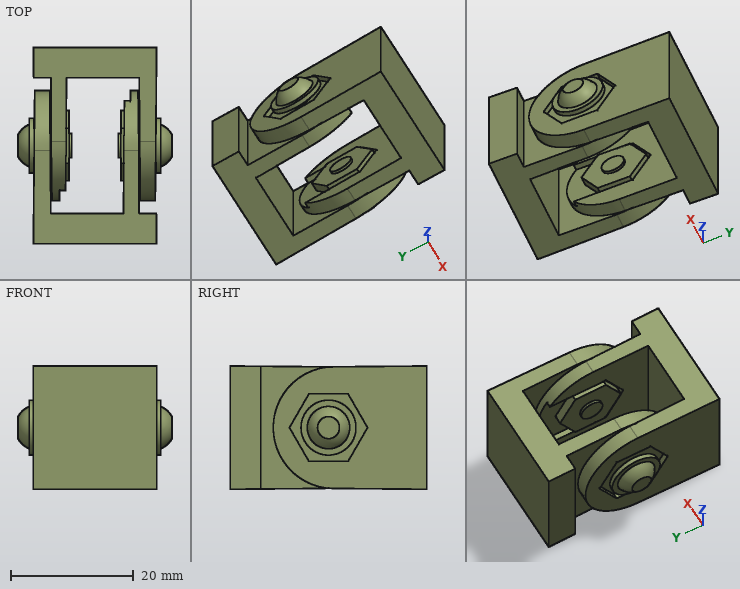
import cadquery as cq
import math

LENGTH = 32.0
WIDTH = 20.1
HEIGHT = 20.1
BLOCK_THICKNESS = 5.0
ARM_LENGTH = 20.0
DRAFT_ANGLE = 0.5
DRAFT_SLOPE = math.tan(math.radians(DRAFT_ANGLE))

ROOT_WIDTH = WIDTH - 2 * DRAFT_SLOPE * BLOCK_THICKNESS
ROOT_HEIGHT = HEIGHT - 2 * DRAFT_SLOPE * BLOCK_THICKNESS

OUTER_ARM_X = (-ROOT_WIDTH / 2, -7.17)
INNER_ARM_X = (4.6, 7.2)

RECESS_FLATS = 11.0
OUTER_RECESS_DEPTH = 0.95
OUTER_FACE_AT_PIN = 9.92
INNER_RECESS_FLOOR_X = 5.75

PIN_RADIUS = 4.0 / 2
PIN_END_X = 3.78
FLANGE_RADIUS = 4.48
FLANGE_THICKNESS = 0.8
HEAD_BASE_RADIUS = 3.45
HEAD_TOP_RADIUS = 1.8
HEAD_TOP_X = 12.55
NUT_FLATS = 9.92
NUT_FACE_X = 4.22

ROOT_Y = -LENGTH / 2 + BLOCK_THICKNESS
TIP_Y = ROOT_Y + ARM_LENGTH


def box_between(x_range, y_range, z_range):
    """Box spanning the given coordinate ranges."""
    spans = [high - low for low, high in (x_range, y_range, z_range)]
    corner = (x_range[0], y_range[0], z_range[0])
    return cq.Workplane("XY").box(*spans, centered=False).translate(corner)


def hex_prism(flats, x_start, x_end):
    """Hexagonal prism along X, with flats facing up and down."""
    corner_diameter = flats / math.cos(math.pi / 6)
    return (
        cq.Workplane("YZ", origin=(x_start, 0, 0))
        .polygon(6, corner_diameter)
        .extrude(x_end - x_start)
    )


def drafted_arm(x_range):
    """Arm tapering away from its block and ending in a rounded tip."""
    x_low, x_high = x_range
    arm = (
        cq.Workplane("XZ", origin=((x_low + x_high) / 2, ROOT_Y, 0))
        .rect(x_high - x_low, ROOT_HEIGHT)
        .extrude(-ARM_LENGTH, taper=DRAFT_ANGLE)
    )
    tip_radius = (ROOT_HEIGHT / 2 - DRAFT_SLOPE * ARM_LENGTH) / (1 - DRAFT_SLOPE)
    round_start_y = TIP_Y - tip_radius
    straight = box_between(x_range, (ROOT_Y, round_start_y), (-ROOT_HEIGHT / 2, ROOT_HEIGHT / 2))
    rounded = (
        cq.Workplane("YZ", origin=(x_low, round_start_y, 0))
        .circle(tip_radius)
        .extrude(x_high - x_low)
    )
    return arm.intersect(straight.union(rounded))


def outer_arm():
    """Arm with a hexagonal recess in its outside face."""
    floor_x = -OUTER_FACE_AT_PIN + OUTER_RECESS_DEPTH
    recess = hex_prism(RECESS_FLATS, OUTER_ARM_X[0], floor_x)
    return drafted_arm(OUTER_ARM_X).cut(recess)


def inner_arm():
    """Arm with a nut recess in its inside face, open toward the tip."""
    half_flats = RECESS_FLATS / 2
    depth_range = (INNER_ARM_X[0], INNER_RECESS_FLOOR_X)
    nut_seat = hex_prism(RECESS_FLATS, *depth_range)
    channel = box_between(depth_range, (0, TIP_Y), (-half_flats, half_flats))
    return drafted_arm(INNER_ARM_X).cut(nut_seat).cut(channel)


def yoke():
    """Drafted end block with its two arms."""
    block = (
        cq.Workplane("XZ", origin=(0, -LENGTH / 2, 0))
        .rect(WIDTH, HEIGHT)
        .extrude(-BLOCK_THICKNESS, taper=DRAFT_ANGLE)
    )
    return block.union(outer_arm()).union(inner_arm()).clean()


def pin_with_nut():
    """Domed, flanged pin through the -X pair of arms, with its nut."""
    flange_back_x = -OUTER_FACE_AT_PIN
    flange_face_x = flange_back_x - FLANGE_THICKNESS
    dome_height = flange_face_x + HEAD_TOP_X
    center_offset = (HEAD_BASE_RADIUS**2 - HEAD_TOP_RADIUS**2 - dome_height**2) / (2 * dome_height)
    sphere_radius = math.hypot(HEAD_BASE_RADIUS, center_offset)
    mid_height = dome_height / 2
    mid_radius = math.sqrt(sphere_radius**2 - (center_offset + mid_height) ** 2)
    pin = (
        cq.Workplane("XY")
        .moveTo(-HEAD_TOP_X, 0)
        .lineTo(-HEAD_TOP_X, HEAD_TOP_RADIUS)
        .threePointArc((flange_face_x - mid_height, mid_radius), (flange_face_x, HEAD_BASE_RADIUS))
        .lineTo(flange_face_x, FLANGE_RADIUS)
        .lineTo(flange_back_x, FLANGE_RADIUS)
        .lineTo(flange_back_x, PIN_RADIUS)
        .lineTo(-PIN_END_X, PIN_RADIUS)
        .lineTo(-PIN_END_X, 0)
        .close()
        .revolve(360, (0, 0, 0), (1, 0, 0))
    )
    nut = hex_prism(NUT_FLATS, -INNER_RECESS_FLOOR_X, -NUT_FACE_X)
    return pin.union(nut)


def half_turn(body):
    """Copy of a body turned half way round the vertical axis."""
    return body.rotate((0, 0, 0), (0, 0, 1), 180)


front_yoke = yoke()
left_pin = pin_with_nut()

result = (
    front_yoke.union(left_pin)
    .union(half_turn(front_yoke))
    .union(half_turn(left_pin))
)